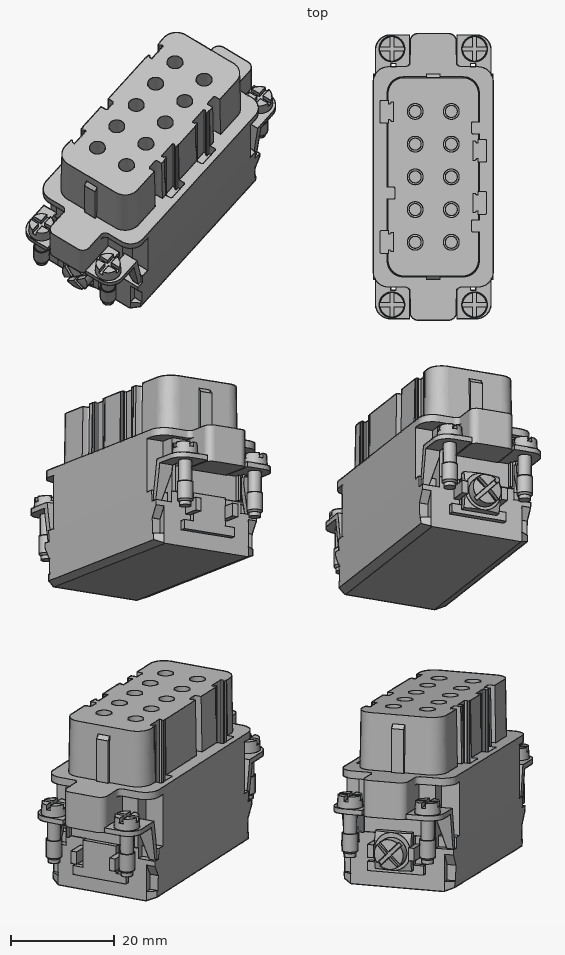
import cadquery as cq
import math

CUT_MARGIN = 0.55
EMBED = 0.55

LIP_TOP = 2.0
SPLIT_Z = 10.65
EAR_BOTTOM = 15.5
PLATE_BOTTOM = 15.6
PLATE_TOP = 16.6
FLANGE_BOTTOM = 21.3
FLANGE_TOP = 22.75
TOTAL_HEIGHT = 34.1

WIDTH = 23.2
HALF_WIDTH = WIDTH / 2
LENGTH = 55.4
LOWER_HALF_LENGTH = 19.85
UPPER_HALF_LENGTH = 20.0
LIP_HALF_WIDTH = 11.4
CHAMFER_HALF_WIDTH = 11.35
BOTTOM_HALF_WIDTH = 9.5
BOTTOM_CHAMFER = 0.7

FLANGE_HALF_LENGTH = 21.3
FLANGE_RADIUS = 3.0
EAR_WIDTH = 9.0
EAR_RADIUS = 1.55
EAR_ROOT_RADIUS = 1.0

PLUG_WIDTH = 17.85
PLUG_LENGTH = 38.65
PLUG_RADIUS = 3.2
PLUG_DRAFT = 1.0

CONTACT_PITCH_X = 7.0
CONTACT_PITCH_Y = 6.3
CONTACT_ROWS = 5
CONTACT_MOUTH_DIAMETER = 3.05
CONTACT_MOUTH_DEPTH = 5.55
CONTACT_BORE_DIAMETER = 2.3
CONTACT_BORE_DEPTH = 11.1

LEFT_SLOT_CENTRES = (-12.6, 12.6)
RIGHT_SLOT_CENTRES = (-5.05, 5.05)
SLOT_MOUTH = 3.05
SLOT_WIDTH = 3.7
SLOT_BOTTOM_X = 7.65
SLOT_SHOULDER_X = 8.1
SLOT_LIP_X = 8.35
RECESS_OUTER_X = 10.3
RECESS_INNER_X = 8.65
RECESS_WIDTH = 4.45
RECESS_DEPTH = 2.75
RECESS_RADIUS = 0.35
LEFT_GROOVE_CENTRES = (-3.15,)
RIGHT_GROOVE_CENTRES = (-9.5, 9.5)
GROOVE_WIDTH = 2.3
GROOVE_BOTTOM_X = 7.35
GROOVE_RADIUS = 0.35

END_RIB_WIDTH = 2.55
END_RIB_TOP = 32.4
END_RIB_SHOULDER = 31.45
END_RIB_Y = 19.85
END_RIB_ROOT_Y = 19.05

RECESS_WALL_X = 7.9
RECESS_BACK_Y = 16.75
LEG_POCKET_BACK_Y = 18.4
LEG_POCKET_FLOOR = 8.5
NOTCH_WALL_X = 9.7
NOTCH_BACK_Y = 18.4
NOTCH_SLOPE_BOTTOM = 5.1
NOTCH_TOP = 7.4
LIP_CORNER_Y = 18.7

PLATE_OUTER_X = 11.2
PLATE_INNER_X = 4.55
PLATE_END_Y = 27.4
PLATE_INNER_Y = 19.6
PLATE_RADIUS = 2.95
RELIEF_INNER_X = 7.2
RELIEF_END_Y = 21.9
LEG_INNER_X = 8.2
LEG_TIP_INNER_X = 9.9
LEG_TAPER_START = 14.4
LEG_ELBOW_Y = 20.65
LEG_TIP_OUTER_Y = 19.2
LEG_TIP_INNER_Y = 18.1
SUPPORT_RIB_INNER_X = 6.7
SUPPORT_RIB_OUTER_X = 7.15
BLOCK_Y = 21.0

SCREW_X = 8.0
SCREW_Y = 24.7
HEAD_TOP = 18.95
HEAD_TOP_DIAMETER = 4.65
HEAD_BASE_DIAMETER = 5.0
SCREW_SLOT_WIDTH = 0.85
SCREW_SLOT_DEPTH = 0.95
SHANK_DIAMETER = 2.6
THREAD_DIAMETER = 3.05
THREAD_TOP = 11.35
THREAD_BOTTOM = 7.8
TIP_TOP = 7.4
TIP_DIAMETER = 2.25
TIP_BOTTOM = 6.65

TERMINAL_Z = 7.8
CLAMP_SIZE = 7.5
CLAMP_Y = 22.65
HOUSING_WIDTH = 7.3
CLAMP_CHAMFER = 0.55
TAB_INNER_X = 3.6
TAB_OUTER_X = 4.8
TAB_BOTTOM = 6.5
TAB_TOP = 9.05
TAB_Y = 23.6
BAR_HALF_WIDTH = 5.75
BAR_BOTTOM = 3.2
BAR_TOP = 5.05
TERMINAL_HEAD_DIAMETER = 5.95
TERMINAL_HEAD_Z = 7.65
TERMINAL_HEAD_RIM_Y = 24.75
TERMINAL_HEAD_CROWN_Y = 25.1
TERMINAL_SLOT_FLOOR_Y = 23.9


def box(x_range, y_range, z_range):
    """Axis-aligned box given by its two ends on each axis."""
    sizes = [abs(b - a) for a, b in (x_range, y_range, z_range)]
    centre = tuple((a + b) / 2 for a, b in (x_range, y_range, z_range))
    return cq.Workplane("XY").box(*sizes).translate(centre)


def at_both_ends(shape):
    return shape.union(shape.mirror("XZ"))


def at_four_corners(shape):
    """Repeat a shape modelled at +X, +Y in all four corners."""
    return at_both_ends(shape.union(shape.mirror("YZ")))


def make_body():
    """Body halves, the lower one with tapered sides and a chamfered bottom edge."""
    half_profile = [
        (BOTTOM_HALF_WIDTH, 0),
        (CHAMFER_HALF_WIDTH, BOTTOM_CHAMFER),
        (LIP_HALF_WIDTH, LIP_TOP),
        (HALF_WIDTH, SPLIT_Z),
    ]
    profile = half_profile + [(-x, z) for x, z in reversed(half_profile)]
    lower = (
        cq.Workplane("XZ")
        .polyline(profile)
        .close()
        .extrude(LOWER_HALF_LENGTH, both=True)
    )
    upper = box(
        (-HALF_WIDTH, HALF_WIDTH),
        (-UPPER_HALF_LENGTH, UPPER_HALF_LENGTH),
        (SPLIT_Z, FLANGE_BOTTOM),
    )
    return lower.union(upper)


def make_corner_cuts():
    """Bracket recess, leg pocket, lower notch and lip chamfer of one corner."""
    outside_x = HALF_WIDTH + CUT_MARGIN
    outside_y = UPPER_HALF_LENGTH + CUT_MARGIN
    recess = box((RECESS_WALL_X, outside_x), (RECESS_BACK_Y, outside_y), (SPLIT_Z, FLANGE_BOTTOM))
    leg_pocket = box(
        (RECESS_WALL_X, outside_x), (LEG_POCKET_BACK_Y, outside_y), (LEG_POCKET_FLOOR, SPLIT_Z)
    )
    notch = (
        cq.Workplane("YZ", origin=(NOTCH_WALL_X, 0, 0))
        .polyline(
            [
                (NOTCH_BACK_Y, LIP_TOP),
                (outside_y, LIP_TOP),
                (outside_y, NOTCH_TOP),
                (LOWER_HALF_LENGTH, NOTCH_TOP),
                (NOTCH_BACK_Y, NOTCH_SLOPE_BOTTOM),
            ]
        )
        .close()
        .extrude(outside_x - NOTCH_WALL_X)
    )
    lip_chamfer = (
        cq.Workplane("XY")
        .polyline(
            [
                (NOTCH_WALL_X, LOWER_HALF_LENGTH),
                (LIP_HALF_WIDTH, LIP_CORNER_Y),
                (outside_x, LIP_CORNER_Y),
                (outside_x, outside_y),
                (NOTCH_WALL_X, outside_y),
            ]
        )
        .close()
        .extrude(LIP_TOP)
    )
    return recess.union(leg_pocket).union(notch).union(lip_chamfer)


def make_flange():
    """Rounded flange with a deep ear at each end."""
    flange_thickness = FLANGE_TOP - FLANGE_BOTTOM
    flange = (
        cq.Workplane("XY", origin=(0, 0, FLANGE_BOTTOM))
        .rect(WIDTH, 2 * FLANGE_HALF_LENGTH)
        .extrude(flange_thickness)
        .edges("|Z")
        .fillet(FLANGE_RADIUS)
    )
    tongue = (
        cq.Workplane("XY", origin=(0, 0, FLANGE_BOTTOM))
        .rect(EAR_WIDTH, LENGTH)
        .extrude(flange_thickness)
        .edges("|Z")
        .fillet(EAR_RADIUS)
    )
    root = cq.selectors.BoxSelector(
        (-EAR_WIDTH / 2 - CUT_MARGIN, -FLANGE_HALF_LENGTH - CUT_MARGIN, EAR_BOTTOM),
        (EAR_WIDTH / 2 + CUT_MARGIN, FLANGE_HALF_LENGTH + CUT_MARGIN, TOTAL_HEIGHT),
    )
    flange = flange.union(tongue).edges("|Z").edges(root).fillet(EAR_ROOT_RADIUS)
    ears = (
        cq.Workplane("XY", origin=(0, 0, EAR_BOTTOM))
        .rect(EAR_WIDTH, LENGTH)
        .extrude(FLANGE_BOTTOM - EAR_BOTTOM)
        .edges("|Z")
        .fillet(EAR_RADIUS)
    )
    return flange.union(ears)


def make_plug():
    """Drafted contact block with a chamfered rib on each end."""
    plug = (
        cq.Workplane("XY", origin=(0, 0, FLANGE_TOP))
        .sketch()
        .rect(PLUG_WIDTH, PLUG_LENGTH)
        .vertices()
        .fillet(PLUG_RADIUS)
        .finalize()
        .extrude(TOTAL_HEIGHT - FLANGE_TOP, taper=PLUG_DRAFT)
    )
    rib = (
        cq.Workplane("YZ")
        .polyline(
            [
                (END_RIB_ROOT_Y, FLANGE_TOP),
                (END_RIB_Y, FLANGE_TOP),
                (END_RIB_Y, END_RIB_SHOULDER),
                (END_RIB_ROOT_Y, END_RIB_TOP),
            ]
        )
        .close()
        .extrude(END_RIB_WIDTH / 2, both=True)
    )
    return plug.union(at_both_ends(rib))


def make_contact_holes():
    points = [
        (side * CONTACT_PITCH_X / 2, (row - (CONTACT_ROWS - 1) / 2) * CONTACT_PITCH_Y)
        for side in (-1, 1)
        for row in range(CONTACT_ROWS)
    ]
    top = cq.Workplane("XY", origin=(0, 0, TOTAL_HEIGHT)).pushPoints(points)
    mouths = top.circle(CONTACT_MOUTH_DIAMETER / 2).extrude(-CONTACT_MOUTH_DEPTH)
    bores = top.circle(CONTACT_BORE_DIAMETER / 2).extrude(-CONTACT_BORE_DEPTH)
    return mouths.union(bores)


def make_key_slot(y):
    """Undercut slot in the +X plug face, with its recess in the flange."""
    floor = FLANGE_TOP - RECESS_DEPTH
    half_outline = [
        (SLOT_BOTTOM_X, SLOT_WIDTH / 2),
        (SLOT_SHOULDER_X, SLOT_WIDTH / 2),
        (SLOT_LIP_X, SLOT_MOUTH / 2),
        (RECESS_OUTER_X, SLOT_MOUTH / 2),
    ]
    outline = half_outline + [(x, -offset) for x, offset in reversed(half_outline)]
    slot = (
        cq.Workplane("XY", origin=(0, y, floor))
        .polyline(outline)
        .close()
        .extrude(TOTAL_HEIGHT - floor)
    )
    recess = box(
        (RECESS_INNER_X, RECESS_OUTER_X),
        (y - RECESS_WIDTH / 2, y + RECESS_WIDTH / 2),
        (floor, TOTAL_HEIGHT),
    )
    recess = recess.edges("|Z and >X").fillet(RECESS_RADIUS)
    return recess.union(slot)


def make_groove(y):
    """Plain rounded groove in the +X plug face."""
    groove = box(
        (GROOVE_BOTTOM_X, PLUG_WIDTH / 2 + CUT_MARGIN),
        (y - GROOVE_WIDTH / 2, y + GROOVE_WIDTH / 2),
        (FLANGE_TOP, TOTAL_HEIGHT),
    )
    return groove.edges("|Z and <X").fillet(GROOVE_RADIUS)


def make_bracket():
    """Screw plate with its relief notch, sloping leg and support rib at one corner."""
    plate = box(
        (PLATE_INNER_X, PLATE_OUTER_X),
        (PLATE_INNER_Y, PLATE_END_Y),
        (PLATE_BOTTOM, PLATE_TOP),
    )
    plate = plate.edges("|Z and >X and >Y").fillet(PLATE_RADIUS)
    relief = box(
        (RELIEF_INNER_X, LEG_INNER_X),
        (UPPER_HALF_LENGTH, RELIEF_END_Y),
        (PLATE_BOTTOM, PLATE_TOP),
    )
    leg_side = (
        cq.Workplane("YZ", origin=(LEG_INNER_X, 0, 0))
        .polyline(
            [
                (PLATE_INNER_Y, PLATE_TOP),
                (LEG_ELBOW_Y, PLATE_TOP),
                (LEG_ELBOW_Y, PLATE_BOTTOM),
                (LEG_TIP_OUTER_Y, LEG_POCKET_FLOOR),
                (LEG_TIP_INNER_Y, LEG_POCKET_FLOOR),
            ]
        )
        .close()
        .extrude(PLATE_OUTER_X - LEG_INNER_X)
    )
    leg_taper = (
        cq.Workplane("XZ")
        .polyline(
            [
                (LEG_INNER_X, LEG_TAPER_START),
                (LEG_TIP_INNER_X, LEG_POCKET_FLOOR),
                (LEG_INNER_X, LEG_POCKET_FLOOR),
            ]
        )
        .close()
        .extrude(-FLANGE_HALF_LENGTH)
    )
    support_rib = box(
        (SUPPORT_RIB_INNER_X, SUPPORT_RIB_OUTER_X),
        (LOWER_HALF_LENGTH, BLOCK_Y),
        (SPLIT_Z, PLATE_BOTTOM),
    )
    return plate.cut(relief).union(leg_side.cut(leg_taper)).union(support_rib)


def make_screw():
    """Captive cross-slotted screw at one corner."""
    half_outline = [
        (0, TIP_BOTTOM),
        (TIP_DIAMETER / 2, TIP_BOTTOM),
        (TIP_DIAMETER / 2, TIP_TOP),
        (THREAD_DIAMETER / 2, THREAD_BOTTOM),
        (THREAD_DIAMETER / 2, THREAD_TOP),
        (SHANK_DIAMETER / 2, THREAD_TOP),
        (SHANK_DIAMETER / 2, PLATE_TOP),
        (HEAD_BASE_DIAMETER / 2, PLATE_TOP),
        (HEAD_TOP_DIAMETER / 2, HEAD_TOP),
        (0, HEAD_TOP),
    ]
    screw = cq.Workplane("XZ").polyline(half_outline).close().revolve(360, (0, 0), (0, 1))
    for slot_size in (
        (HEAD_BASE_DIAMETER, SCREW_SLOT_WIDTH),
        (SCREW_SLOT_WIDTH, HEAD_BASE_DIAMETER),
    ):
        slot = (
            cq.Workplane("XY", origin=(0, 0, HEAD_TOP)).rect(*slot_size).extrude(-SCREW_SLOT_DEPTH)
        )
        screw = screw.cut(slot)
    return screw.translate((SCREW_X, SCREW_Y, 0))


def make_end_blocks():
    """Terminal housing, pair of tabs and retaining bar found on both end faces."""
    inside_y = LOWER_HALF_LENGTH - EMBED
    half_housing = HOUSING_WIDTH / 2
    housing = box((-half_housing, half_housing), (inside_y, BLOCK_Y), (BAR_TOP, SPLIT_Z))
    tab = box((TAB_INNER_X, TAB_OUTER_X), (inside_y, TAB_Y), (TAB_BOTTOM, TAB_TOP))
    bar = box((-BAR_HALF_WIDTH, BAR_HALF_WIDTH), (inside_y, BLOCK_Y), (BAR_BOTTOM, BAR_TOP))
    tabs = tab.union(tab.mirror("YZ"))
    return at_both_ends(housing.union(tabs).union(bar))


def make_terminal():
    """Square clamp and crowned cross-slotted screw head on the -Y end."""
    half_clamp = CLAMP_SIZE / 2
    clamp = box(
        (-half_clamp, half_clamp),
        (-CLAMP_Y, -BLOCK_Y),
        (TERMINAL_Z - half_clamp, TERMINAL_Z + half_clamp),
    )
    corner_radius = half_clamp * math.sqrt(2)
    cone_profile = [
        (0, 0),
        (corner_radius, 0),
        (corner_radius, CLAMP_Y - CLAMP_CHAMFER),
        (half_clamp, CLAMP_Y),
        (0, CLAMP_Y),
    ]
    cone = (
        cq.Workplane("XY")
        .polyline([(x, -y) for x, y in cone_profile])
        .close()
        .revolve(360, (0, 0), (0, 1))
        .translate((0, 0, TERMINAL_Z))
    )
    head_radius = TERMINAL_HEAD_DIAMETER / 2
    head = (
        cq.Workplane("XY")
        .moveTo(0, EMBED - CLAMP_Y)
        .lineTo(head_radius, EMBED - CLAMP_Y)
        .lineTo(head_radius, -TERMINAL_HEAD_RIM_Y)
        .lineTo(0, -TERMINAL_HEAD_CROWN_Y)
        .close()
        .revolve(360, (0, 0), (0, 1))
        .translate((0, 0, TERMINAL_HEAD_Z))
    )
    for angle in (45, 135):
        slot = (
            box(
                (-head_radius, head_radius),
                (-TERMINAL_HEAD_CROWN_Y, -TERMINAL_SLOT_FLOOR_Y),
                (-SCREW_SLOT_WIDTH / 2, SCREW_SLOT_WIDTH / 2),
            )
            .rotate((0, 0, 0), (0, 1, 0), angle)
            .translate((0, 0, TERMINAL_HEAD_Z))
        )
        head = head.cut(slot)
    return clamp.intersect(cone), head


body = make_body().cut(at_four_corners(make_corner_cuts()))
shell = body.union(make_flange()).union(make_plug())
shell = shell.cut(make_contact_holes())

for y in RIGHT_SLOT_CENTRES:
    shell = shell.cut(make_key_slot(y))
for y in LEFT_SLOT_CENTRES:
    shell = shell.cut(make_key_slot(y).mirror("YZ"))
for y in RIGHT_GROOVE_CENTRES:
    shell = shell.cut(make_groove(y))
for y in LEFT_GROOVE_CENTRES:
    shell = shell.cut(make_groove(y).mirror("YZ"))

shell = shell.union(at_four_corners(make_bracket()))
shell = shell.union(at_four_corners(make_screw()))
terminal_clamp, terminal_head = make_terminal()
result = shell.union(make_end_blocks()).union(terminal_clamp).union(terminal_head)